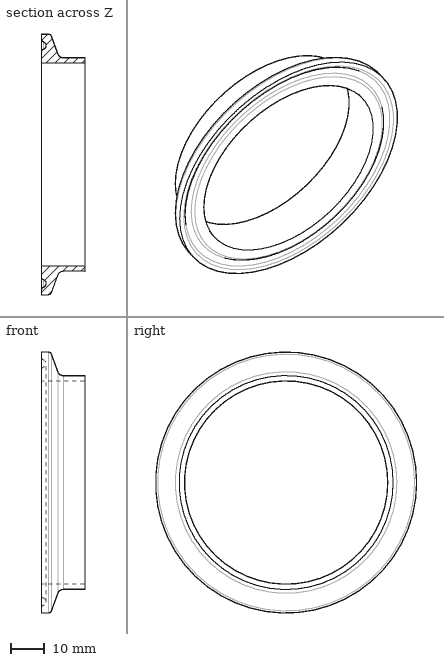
import cadquery as cq
import math

length = 13.0
flange_radius = 77.5 / 2
tube_radius = 63.5 / 2
bore_radius = 60.2 / 2

cone_angle = math.radians(20)
rim_width = 2.1
rim_round = 1.0
neck_round = 1.7

groove_center_radius = 35.35
groove_round = 1.2
lip_round = 0.9
groove_wall_angle = math.radians(70)


def arc_point(center, radius, angle):
    """Point on a circle as (x, r), with the angle measured from +X."""
    return (center[0] + radius * math.cos(angle), center[1] + radius * math.sin(angle))


def make_ring():
    """Revolve the body section, with the rim and neck arcs tangent to the cone."""
    rim_center = (rim_width, flange_radius - rim_round)
    cone_outer = arc_point(rim_center, rim_round, cone_angle)
    rim_mid = arc_point(rim_center, rim_round, (math.pi / 2 + cone_angle) / 2)

    neck_center_radius = tube_radius + neck_round
    center_distance = rim_round + neck_round
    radial_drop = rim_center[1] - neck_center_radius
    axial_gap = (center_distance + radial_drop * math.sin(cone_angle)) / math.cos(cone_angle)
    neck_center_x = rim_width + axial_gap
    neck_center = (neck_center_x, neck_center_radius)
    cone_inner = arc_point(neck_center, neck_round, math.pi + cone_angle)
    neck_mid = arc_point(neck_center, neck_round, (math.pi + cone_angle + 3 * math.pi / 2) / 2)

    section = (
        cq.Workplane("XY")
        .moveTo(0, bore_radius)
        .lineTo(0, flange_radius)
        .lineTo(rim_width, flange_radius)
        .threePointArc(rim_mid, cone_outer)
        .lineTo(*cone_inner)
        .threePointArc(neck_mid, (neck_center_x, tube_radius))
        .lineTo(length, tube_radius)
        .lineTo(length, bore_radius)
        .close()
    )
    return section.revolve(360, (0, 0, 0), (1, 0, 0))


def make_groove():
    """Revolve a round-bottomed groove whose convex lips blend into the sealing face."""
    center_spacing = lip_round + groove_round
    half_width = center_spacing * math.sin(groove_wall_angle)
    bottom_center = (lip_round - center_spacing * math.cos(groove_wall_angle), groove_center_radius)
    inner_lip_center = (lip_round, groove_center_radius - half_width)
    outer_lip_center = (lip_round, groove_center_radius + half_width)

    inner_wall = arc_point(bottom_center, groove_round, -groove_wall_angle)
    outer_wall = arc_point(bottom_center, groove_round, groove_wall_angle)
    bottom = arc_point(bottom_center, groove_round, 0)
    lip_mid_angle = groove_wall_angle / 2
    inner_lip_mid = arc_point(inner_lip_center, lip_round, math.pi - lip_mid_angle)
    outer_lip_mid = arc_point(outer_lip_center, lip_round, math.pi + lip_mid_angle)

    section = (
        cq.Workplane("XY")
        .moveTo(0, inner_lip_center[1])
        .threePointArc(inner_lip_mid, inner_wall)
        .threePointArc(bottom, outer_wall)
        .threePointArc(outer_lip_mid, (0, outer_lip_center[1]))
        .close()
    )
    return section.revolve(360, (0, 0, 0), (1, 0, 0))


result = make_ring().cut(make_groove())